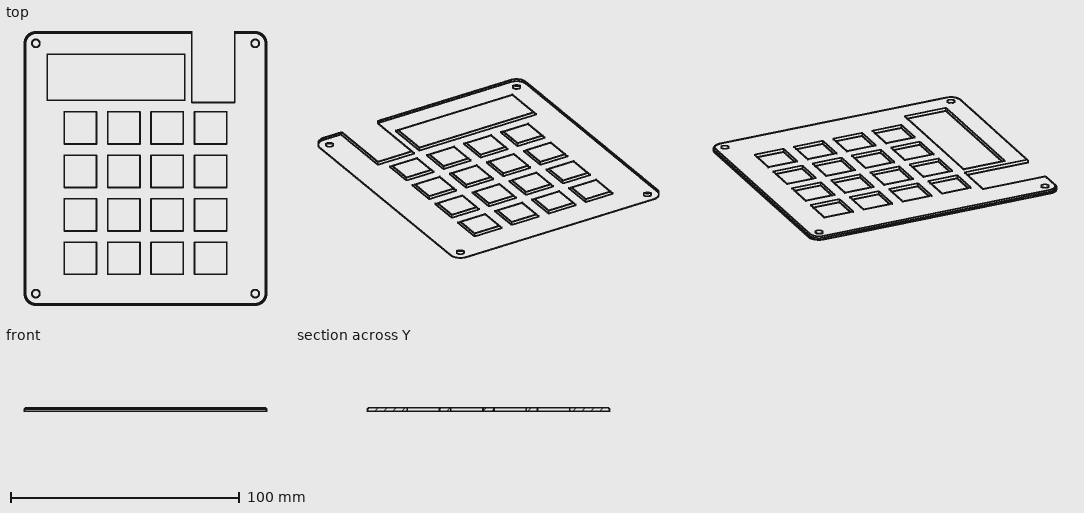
import cadquery as cq

width = 106.0
length = 119.5
thickness = 1.5
corner_radius = 5.0
edge_chamfer = 0.6

hole_diameter = 3.3
hole_spacing_x = width - 2 * corner_radius
hole_spacing_y = length - 2 * corner_radius

key_count = 4
key_size = 14.0
key_pitch = 19.0
key_center = (0.0, -10.8)

window_width = 60.0
window_height = 20.0
window_center = (-12.9, 39.9)

notch_width = 18.8
notch_depth = 30.8
notch_center_x = 29.6


def make_plate():
    """Rounded plate with its upper outer edge chamfered."""
    plate = cq.Workplane("XY").box(width, length, thickness, centered=(True, True, False))
    plate = plate.edges("|Z").fillet(corner_radius)
    return plate.faces(">Z").edges().chamfer(edge_chamfer)


def through_cutter(size_x, size_y, center):
    """Rectangular block as tall as the plate."""
    return cq.Workplane("XY").center(*center).rect(size_x, size_y).extrude(thickness)


def make_keys():
    """Square grid of key openings."""
    return (
        cq.Workplane("XY")
        .center(*key_center)
        .rarray(key_pitch, key_pitch, key_count, key_count)
        .rect(key_size, key_size)
        .extrude(thickness)
    )


def make_screw_holes():
    """One through hole in each corner."""
    return (
        cq.Workplane("XY")
        .rect(hole_spacing_x, hole_spacing_y, forConstruction=True)
        .vertices()
        .circle(hole_diameter / 2)
        .extrude(thickness)
    )


window = through_cutter(window_width, window_height, window_center)
notch = through_cutter(notch_width, 2 * notch_depth, (notch_center_x, length / 2))

result = make_plate().cut(make_screw_holes()).cut(make_keys()).cut(window).cut(notch)